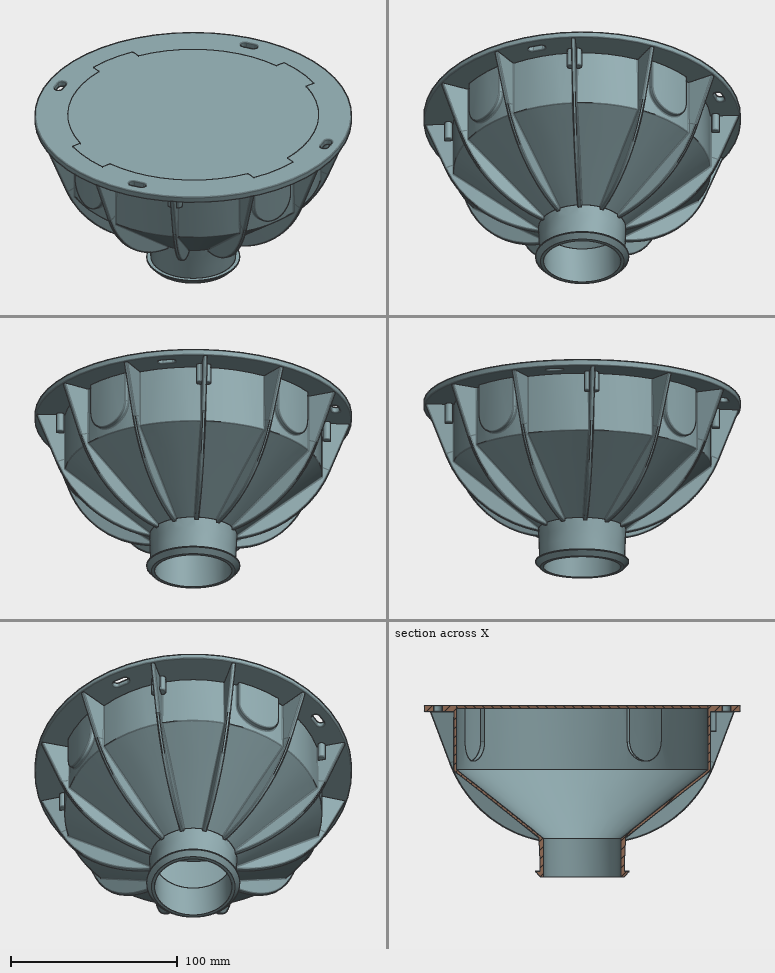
import cadquery as cq
import math


edge_round = 0.5

flange_radius = 95.0
flange_thickness = 3.8
quarter_turns = [0, 90, 180, 270]

slot_length = 10.6
slot_width = 5.0
slot_circle_radius = 86.5

wall = 1.9
bore_radius = 75.2
bowl_radius = bore_radius + wall
bowl_depth = 39.1
cone_depth = 79.5
total_depth = 103.0
spout_top_radius = 26.2
spout_bottom_radius = 25.5
collar_radius = 28.0
collar_foot_radius = 25.0
collar_depth = 99.4
collar_lip = 0.5

rib_count = 12
rib_step = 360 / rib_count
rib_first_angle = rib_step / 2
rib_top_radius = 94.0
rib_slope = 21.3
rib_straight_drop = 30.8
rib_arc_radius = 75.0
rib_edge_thickness = 2.3
rib_draft = 1.0
rib_reach = 20.9

boss_length = 8.7
boss_width = 4.5
boss_circle_radius = 80.2
boss_depth = 15.5
boss_first_angle = rib_first_angle

tab_first_angle = 60
bulge_radius = 80.0
bulge_width = 27.4
bulge_straight_depth = 21.7

lid_thickness = 1.9
tab_radius = 81.0
tab_width = 29.6


def disc(radius, top, bottom):
    return cq.Workplane("XY").workplane(offset=bottom).circle(radius).extrude(top - bottom)


def turned(body, angle):
    return body.rotate((0, 0, 0), (0, 0, 1), angle)


def joined(body, parts):
    """Body with all the parts fused to it in a single step."""
    return body.newObject([body.val().fuse(*[part.val() for part in parts])])


def lid_shape():
    """Disc with four parallel-sided tabs, used for the lid and for its recess."""
    disc_part = disc(bore_radius, 0, -lid_thickness)
    bars = cq.Workplane("XY").workplane(offset=-lid_thickness)
    bars = bars.rect(2 * flange_radius, tab_width).extrude(lid_thickness)
    cross = bars.union(turned(bars, 90))
    tabs = turned(cross, tab_first_angle).intersect(disc(tab_radius, 0, -lid_thickness))
    return disc_part.union(tabs)


def flange_slots():
    slots = cq.Workplane("XY").workplane(offset=-flange_thickness)
    slots = slots.polarArray(slot_circle_radius, 0, 360, len(quarter_turns))
    return slots.slot2D(slot_length, slot_width, 90).extrude(flange_thickness)


def flange():
    plate = disc(flange_radius, 0, -flange_thickness).cut(flange_slots())
    return plate.faces("<Z or >Z").edges().fillet(edge_round)


def bowl_outside():
    outline = [
        (0, 0),
        (bowl_radius, 0),
        (bowl_radius, -bowl_depth),
        (spout_top_radius, -cone_depth),
        (spout_bottom_radius, -collar_depth),
        (collar_radius, -collar_depth),
        (collar_radius, -collar_depth - collar_lip),
        (collar_foot_radius, -total_depth),
        (0, -total_depth),
    ]
    return cq.Workplane("XZ").polyline(outline).close().revolve(360, (0, 0, 0), (0, 1, 0))


def bowl_inside():
    """Cavity that leaves the same wall along the cylinder, the cone and the spout."""
    cone_angle = math.atan2(bowl_radius - spout_top_radius, cone_depth - bowl_depth)
    corner_rise = wall * math.tan((math.pi / 2 - cone_angle) / 2)
    spout_bore_radius = collar_foot_radius - wall
    cavity_bottom = bowl_depth - corner_rise
    funnel_drop = (bore_radius - spout_bore_radius) / math.tan(cone_angle)
    outline = [
        (0, 0),
        (bore_radius, 0),
        (bore_radius, -cavity_bottom),
        (spout_bore_radius, -cavity_bottom - funnel_drop),
        (spout_bore_radius, -total_depth),
        (0, -total_depth),
    ]
    return cq.Workplane("XZ").polyline(outline).close().revolve(360, (0, 0, 0), (0, 1, 0))


def rib():
    """Rib in the XZ plane: a tapered section swept down a straight line and a tangent arc."""
    slope = math.radians(rib_slope)
    start_x = rib_top_radius
    start_z = -flange_thickness
    bend_x = start_x - rib_straight_drop * math.tan(slope)
    bend_z = start_z - rib_straight_drop
    center_x = bend_x - rib_arc_radius * math.cos(slope)
    center_z = bend_z + rib_arc_radius * math.sin(slope)
    middle_angle = (slope + math.pi / 2) / 2
    arc_middle = (
        center_x + rib_arc_radius * math.cos(middle_angle),
        center_z - rib_arc_radius * math.sin(middle_angle),
    )
    arc_end = (center_x, center_z - rib_arc_radius)
    path = cq.Workplane("XZ").moveTo(start_x, start_z).lineTo(bend_x, bend_z)
    path = path.threePointArc(arc_middle, arc_end)

    edge_half = rib_edge_thickness / 2
    root_half = edge_half + rib_reach * math.tan(math.radians(rib_draft))
    section_plane = cq.Plane(
        origin=(start_x, 0, start_z),
        xDir=(-math.cos(slope), 0, math.sin(slope)),
        normal=(-math.sin(slope), 0, -math.cos(slope)),
    )
    section = [(0, -edge_half), (0, edge_half), (rib_reach, root_half), (rib_reach, -root_half)]
    swept = cq.Workplane(section_plane).polyline(section).close().sweep(path)
    return swept.intersect(disc(flange_radius, -flange_thickness / 2, -total_depth))


def cross_boss():
    boss = cq.Workplane("XY").workplane(offset=-boss_depth).center(boss_circle_radius, 0)
    boss = boss.slot2D(boss_length, boss_width, 90).extrude(boss_depth - flange_thickness / 2)
    return boss.faces("<Z").edges().fillet(edge_round)


def bulge(radius, width):
    """Round-ended block pointing along +X and cut off by a cylinder about the Z axis."""
    block = cq.Workplane("YZ").rect(width, 2 * bulge_straight_depth).extrude(radius)
    round_end = cq.Workplane("YZ").center(0, -bulge_straight_depth).circle(width / 2).extrude(radius)
    lower_half = disc(radius, -flange_thickness / 2, -total_depth)
    return block.union(round_end).intersect(lower_half)


def zone(top, bottom):
    """Selector for edges whose centre lies between two heights."""
    return cq.selectors.BoxSelector(
        (-flange_radius, -flange_radius, bottom), (flange_radius, flange_radius, top)
    )


def bowl_with_bulges():
    one_bulge = bulge(bulge_radius, bulge_width)
    bulges = [turned(one_bulge, tab_first_angle + angle) for angle in quarter_turns]
    body = joined(bowl_outside(), bulges)
    bulge_edges = body.edges(zone(-flange_thickness, -bowl_depth + wall)).edges("%BSPLINE")
    return bulge_edges.fillet(edge_round)


def is_rib_root(edge):
    """True for the long curved edges that run along a rib where it meets the bowl."""
    center = edge.Center()
    from_rib = (math.degrees(math.atan2(center.y, center.x)) - rib_first_angle) % rib_step
    from_rib = min(from_rib, rib_step - from_rib)
    is_along_rib = from_rib < rib_step / 10
    return is_along_rib and edge.geomType() in ("ELLIPSE", "BSPLINE") and edge.Length() > wall


def add_ribs(body):
    """Add the ribs, then round the bowl corner, the rib roots and the rib outer edges in turn."""
    one_rib = rib()
    ribs = [turned(one_rib, rib_first_angle + index * rib_step) for index in range(rib_count)]
    body = joined(body, ribs)
    corner = body.edges(zone(-bowl_depth + edge_round, -bowl_depth - edge_round)).edges("%CIRCLE")
    body = corner.fillet(edge_round)
    bowl_edges = body.edges(zone(-flange_thickness, -cone_depth + edge_round)).vals()
    body = body.newObject([edge for edge in bowl_edges if is_rib_root(edge)]).fillet(edge_round)
    rib_arcs = body.edges(zone(-bowl_depth - wall, -cone_depth + wall)).edges("%CIRCLE")
    return rib_arcs.fillet(edge_round)


def make_housing():
    one_boss = cross_boss()
    bosses = [turned(one_boss, boss_first_angle + angle) for angle in quarter_turns]
    one_pocket = bulge(bulge_radius - wall, bulge_width - 2 * wall)
    pockets = [turned(one_pocket, tab_first_angle + angle) for angle in quarter_turns]
    body = joined(add_ribs(bowl_with_bulges()), [flange(), *bosses])
    cavity = joined(bowl_inside(), pockets)
    return body.cut(cavity).cut(lid_shape())


housing = make_housing()
lid = lid_shape()

result = cq.Compound.makeCompound([housing.solids().val(), lid.solids().val()])